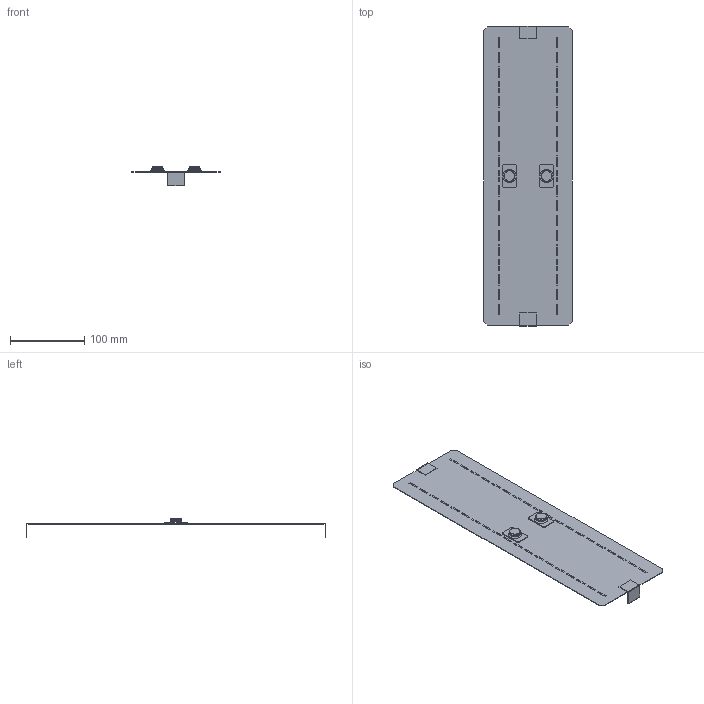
import cadquery as cq

OVERALL_LENGTH = 404.5
OVERALL_HEIGHT = 26.13

MAT_WIDTH = 120.0
MAT_LENGTH = 402.0
MAT_THICKNESS = 0.8
MAT_CORNER_CHAMFER = 5.0

STITCH_LENGTH = 14.0
STITCH_WIDTH = 2.0
STITCH_HEIGHT = 0.25
STITCH_PITCH = 20.0
STITCHES_PER_ROW = 19
STITCH_ROW_X = 39.0

BUTTON_X = 25.0
PATCH_WIDTH = 20.0
PATCH_LENGTH = 31.0
PATCH_THICKNESS = 1.1
PATCH_CORNER_RADIUS = 3.0
PATCH_OPENING_DIAMETER = 18.0

DISC_GAP = 2.0
FLANGE_DIAMETER = 15.0
FLANGE_THICKNESS = 0.75
DISC_DIAMETER = 14.0
DISC_THICKNESS = 1.0
CAP_DIAMETER = 14.0
CAP_THICKNESS = 0.2

STRAP_WIDTH = 22.5
STRAP_THICKNESS = 0.5
STRAP_TAB_LENGTH = 17.5
STRAP_DROP = 18.3

SIDES = (-1, 1)
BUTTON_CENTERS = [(side * BUTTON_X, 0) for side in SIDES]
STRAP_OUTER_Y = OVERALL_LENGTH / 2
FLANGE_BOTTOM_Z = MAT_THICKNESS + PATCH_THICKNESS + DISC_GAP
CAP_TOP_Z = OVERALL_HEIGHT - STRAP_DROP


def make_mat():
    """Sheet with chamfered corners, carrying the raised stitches and patches."""
    sheet = (
        cq.Workplane("XY")
        .rect(MAT_WIDTH, MAT_LENGTH)
        .extrude(MAT_THICKNESS)
        .edges("|Z")
        .chamfer(MAT_CORNER_CHAMFER)
    )
    mat_top = cq.Workplane("XY", origin=(0, 0, MAT_THICKNESS))
    stitches = (
        mat_top.rarray(2 * STITCH_ROW_X, STITCH_PITCH, len(SIDES), STITCHES_PER_ROW)
        .rect(STITCH_WIDTH, STITCH_LENGTH)
        .extrude(STITCH_HEIGHT)
    )
    patches = (
        mat_top.pushPoints(BUTTON_CENTERS)
        .rect(PATCH_WIDTH, PATCH_LENGTH)
        .extrude(PATCH_THICKNESS)
        .edges("|Z")
        .fillet(PATCH_CORNER_RADIUS)
    )
    openings = (
        mat_top.pushPoints(BUTTON_CENTERS)
        .circle(PATCH_OPENING_DIAMETER / 2)
        .extrude(PATCH_THICKNESS)
    )
    return sheet.union(stitches).union(patches.cut(openings))


def make_strap(side):
    """Strap with its tab on the mat and its leg hanging past the +Y or -Y end."""
    tab_bottom = MAT_THICKNESS
    tab_top = tab_bottom + STRAP_THICKNESS
    outer_y = side * STRAP_OUTER_Y
    inner_y = side * (STRAP_OUTER_Y - STRAP_THICKNESS)
    tab_end_y = side * (STRAP_OUTER_Y - STRAP_TAB_LENGTH)
    profile = [
        (outer_y, -STRAP_DROP),
        (outer_y, tab_top),
        (tab_end_y, tab_top),
        (tab_end_y, tab_bottom),
        (inner_y, tab_bottom),
        (inner_y, -STRAP_DROP),
    ]
    return cq.Workplane("YZ").polyline(profile).close().extrude(STRAP_WIDTH / 2, both=True)


def make_button_disc(side):
    """Stepped disc of a snap button, with its wider flange at the bottom."""
    flange = (
        cq.Workplane("XY", origin=(side * BUTTON_X, 0, FLANGE_BOTTOM_Z))
        .circle(FLANGE_DIAMETER / 2)
        .extrude(FLANGE_THICKNESS)
    )
    return flange.faces(">Z").workplane().circle(DISC_DIAMETER / 2).extrude(DISC_THICKNESS)


def make_button_cap(side):
    """Thin round cap at the top of a snap button."""
    return (
        cq.Workplane("XY", origin=(side * BUTTON_X, 0, CAP_TOP_Z - CAP_THICKNESS))
        .circle(CAP_DIAMETER / 2)
        .extrude(CAP_THICKNESS)
    )


mat = make_mat().solids()
bodies = [mat.val()]
for side in SIDES:
    bodies.append(make_strap(side).val())
    bodies.append(make_button_disc(side).val())
    bodies.append(make_button_cap(side).val())

result = cq.Compound.makeCompound(bodies)